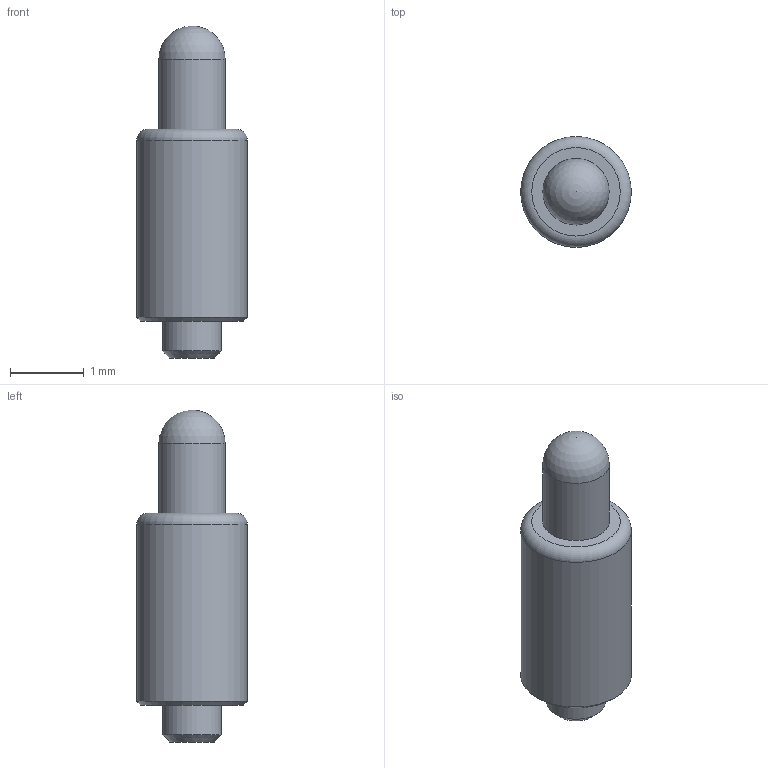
import cadquery as cq


BARREL_DIAMETER = 1.5
BARREL_LENGTH = 2.6
BARREL_TOP_FILLET = 0.15
BARREL_BOTTOM_CHAMFER = 0.05

PLUNGER_DIAMETER = 0.9
PLUNGER_LENGTH = 1.4

TAIL_DIAMETER = 0.8
TAIL_LENGTH = 0.5
TAIL_CHAMFER = 0.1


def make_barrel():
    barrel = cq.Workplane("XY").circle(BARREL_DIAMETER / 2).extrude(BARREL_LENGTH)
    barrel = barrel.faces(">Z").edges().fillet(BARREL_TOP_FILLET)
    return barrel.faces("<Z").edges().chamfer(BARREL_BOTTOM_CHAMFER)


def make_plunger():
    radius = PLUNGER_DIAMETER / 2
    dome_start = BARREL_LENGTH + PLUNGER_LENGTH - radius
    shank = cq.Workplane("XY").circle(radius).extrude(dome_start)
    dome = cq.Workplane("XY").sphere(radius).translate((0, 0, dome_start))
    return shank.union(dome)


def make_tail():
    tail = cq.Workplane("XY").circle(TAIL_DIAMETER / 2).extrude(-TAIL_LENGTH)
    return tail.faces("<Z").edges().chamfer(TAIL_CHAMFER)


result = make_barrel().union(make_plunger()).union(make_tail())